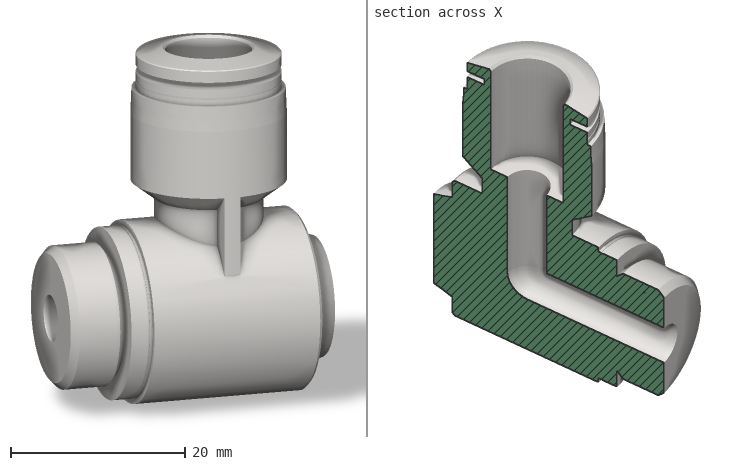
import cadquery as cq

barrel_radius = 21.3 / 2
top_z = 41.35 - barrel_radius

back_y = 13.0
stud_front_y = back_y - 32.0
barrel_back_y = 10.4
barrel_front_y = -9.92
flange_front_y = -12.5
barrel_chamfer = 0.37
back_cone_base_radius = 15.75 / 2
back_cone_tip_radius = 14.1 / 2
flange_radius = 20.0 / 2
flange_groove_radius = 19.9 / 2
flange_groove_y = -10.25
flange_groove_width = 0.15
stud_radius = 16.65 / 2
stud_chamfer = 0.83

neck_radius = 12.55 / 2
neck_top_z = 13.0
socket_radius = 18.0 / 2
socket_base_z = 15.05
taper_start_z = 23.05
socket_top_z = 25.95
socket_top_radius = 17.75 / 2

collar_radius = 16.8 / 2
collar_top_z = 27.85
collar_groove_radius = 16.65 / 2
collar_groove_z = 26.67
collar_groove_width = 0.2
stem_radius = 12.0 / 2
button_base_z = 28.7
button_crown = 0.58
button_rim_chamfer = 0.12

tube_radius = 10.0 / 2
tube_chamfer = 0.3
passage_radius = 5.4 / 2
rib_thickness = 1.95


def revolve_about_y(points):
    """Revolve a closed (radius, y) outline about the Y axis."""
    return cq.Workplane("XY").polyline(points).close().revolve(360, (0, 0), (0, 1))


def revolve_about_z(points):
    """Revolve a closed (radius, z) outline about the Z axis."""
    return cq.Workplane("XZ").polyline(points).close().revolve(360, (0, 0), (0, 1))


def make_barrel():
    groove_front_y = flange_groove_y - flange_groove_width
    return revolve_about_y([
        (0, back_y),
        (back_cone_tip_radius, back_y),
        (back_cone_base_radius, barrel_back_y),
        (barrel_radius - barrel_chamfer, barrel_back_y),
        (barrel_radius, barrel_back_y - barrel_chamfer),
        (barrel_radius, barrel_front_y),
        (flange_radius, barrel_front_y),
        (flange_radius, flange_groove_y),
        (flange_groove_radius, flange_groove_y),
        (flange_groove_radius, groove_front_y),
        (flange_radius, groove_front_y),
        (flange_radius, flange_front_y),
        (stud_radius - stud_chamfer, flange_front_y),
        (stud_radius, flange_front_y - stud_chamfer),
        (stud_radius, stud_front_y + stud_chamfer),
        (stud_radius - stud_chamfer, stud_front_y),
        (0, stud_front_y),
    ])


def make_socket():
    button_rim_z = top_z - button_crown
    groove_top_z = collar_groove_z + collar_groove_width
    return revolve_about_z([
        (0, 0),
        (neck_radius, 0),
        (neck_radius, neck_top_z),
        (socket_radius, socket_base_z),
        (socket_radius, taper_start_z),
        (socket_top_radius, socket_top_z),
        (collar_radius, socket_top_z),
        (collar_radius, collar_groove_z),
        (collar_groove_radius, collar_groove_z),
        (collar_groove_radius, groove_top_z),
        (collar_radius, groove_top_z),
        (collar_radius, collar_top_z),
        (stem_radius, collar_top_z),
        (stem_radius, button_base_z),
        (collar_radius, button_base_z),
        (collar_radius, button_rim_z - button_rim_chamfer),
        (collar_radius - button_rim_chamfer, button_rim_z),
        (tube_radius + tube_chamfer, top_z),
        (0, top_z),
    ])


def make_ribs():
    """A rib on each side of the neck, its outer face flush with the round socket wall."""
    plate = cq.Workplane("XY").box(
        2 * socket_radius, rib_thickness, socket_base_z, centered=(True, True, False)
    )
    socket_envelope = cq.Workplane("XY").circle(socket_radius).extrude(socket_base_z)
    return plate.intersect(socket_envelope)


def make_tube_bore():
    """Blind bore with a chamfered mouth, ending where the socket narrows."""
    return revolve_about_z([
        (0, socket_base_z),
        (tube_radius, socket_base_z),
        (tube_radius, top_z - tube_chamfer),
        (tube_radius + tube_chamfer, top_z),
        (0, top_z),
    ])


def make_passage():
    """Right-angle passage with a ball-ended turn at the origin."""
    rise = cq.Workplane("XY").circle(passage_radius).extrude(socket_base_z)
    outlet = cq.Workplane("XZ").circle(passage_radius).extrude(-stud_front_y)
    turn = cq.Workplane("XY").sphere(passage_radius)
    return rise.union(outlet).union(turn)


body = make_barrel().union(make_socket()).union(make_ribs())
result = body.cut(make_tube_bore()).cut(make_passage()).clean()